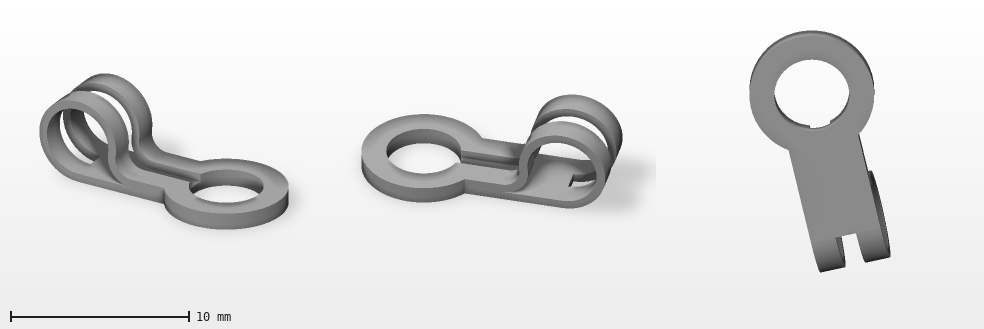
import cadquery as cq
import math

length = 14.49
loop_outer_diameter = 5.0
loop_inner_diameter = 4.0
strap_width = 4.0
slot_width = 1.17
eyelet_diameter = 7.0
hole_diameter = 4.2
bend_inner_radius = 1.0

loop_outer_radius = loop_outer_diameter / 2
loop_inner_radius = loop_inner_diameter / 2
thickness = loop_outer_radius - loop_inner_radius
flange_height = 2 * thickness
loop_z = loop_outer_radius
eyelet_x = length - loop_outer_radius - eyelet_diameter / 2

bend_outer_radius = bend_inner_radius + thickness
bend_z = flange_height + bend_inner_radius
center_distance = loop_outer_radius + bend_inner_radius
bend_x = math.sqrt(center_distance**2 - (bend_z - loop_z) ** 2)
tangent_angle = math.atan2(bend_z - loop_z, bend_x)


def point_on_circle(center_x, center_z, radius, angle):
    return (center_x + radius * math.cos(angle), center_z + radius * math.sin(angle))


def strap_body(loop_radius, bend_radius, bottom_z, end_x):
    """Full-width body under one face of the bent strip, closed along its bottom."""
    tangent_point = point_on_circle(0, loop_z, loop_radius, tangent_angle)
    loop_middle = point_on_circle(0, loop_z, loop_radius, (1.5 * math.pi + tangent_angle) / 2)
    bend_middle = point_on_circle(bend_x, bend_z, bend_radius, (2.5 * math.pi + tangent_angle) / 2)
    flat_z = bend_z - bend_radius
    outline = (
        cq.Workplane("XZ")
        .moveTo(0, bottom_z)
        .threePointArc(loop_middle, tangent_point)
        .threePointArc(bend_middle, (bend_x, flat_z))
    )
    if end_x > bend_x:
        outline = outline.lineTo(end_x, flat_z).lineTo(end_x, bottom_z)
    return outline.close().extrude(strap_width / 2, both=True)


strap = strap_body(loop_outer_radius, bend_inner_radius, 0, eyelet_x)
loop_opening = strap_body(loop_inner_radius, bend_outer_radius, thickness, bend_x)
strap = strap.cut(loop_opening)

loop_slot = cq.Workplane("XY").box(
    loop_outer_radius, slot_width, loop_outer_diameter, centered=(False, True, False)
).translate((-loop_outer_radius, 0, 0))
upper_slot = cq.Workplane("XY").box(
    eyelet_x, slot_width, loop_outer_diameter, centered=(False, True, False)
).translate((0, 0, thickness))

eyelet = cq.Workplane("XY").center(eyelet_x, 0).circle(eyelet_diameter / 2).extrude(flange_height)
hole = cq.Workplane("XY").center(eyelet_x, 0).circle(hole_diameter / 2).extrude(flange_height)

result = strap.union(eyelet).cut(loop_slot).cut(upper_slot).cut(hole)